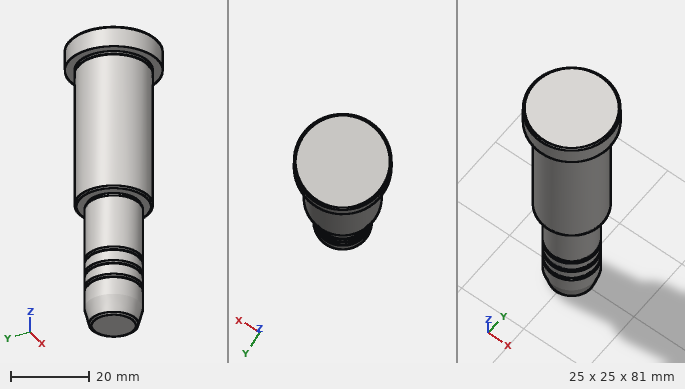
import cadquery as cq
import math

head_diameter = 25.0
body_diameter = 20.0
shank_diameter = 15.0

total_length = 81.0
head_height = 6.0
body_length = 40.0
tip_length = 5.0
tip_half_angle = 15.0

edge_chamfer = 0.5

relief_width = 1.0
relief_depth = 0.5

groove_width = 1.0
groove_depth = 0.5
groove_spacing = 4.0
shank_groove_count = 3
first_shank_groove_drop = 16.5

head_radius = head_diameter / 2
body_radius = body_diameter / 2
shank_radius = shank_diameter / 2

head_underside_z = total_length - head_height
body_underside_z = head_underside_z - body_length
tip_end_radius = shank_radius - tip_length * math.tan(math.radians(tip_half_angle))


def make_cylinder(radius, bottom_z, height):
    return cq.Workplane("XY").workplane(offset=bottom_z).circle(radius).extrude(height)


def make_head():
    """Flat head with a chamfered top rim."""
    head = make_cylinder(head_radius, head_underside_z, head_height)
    return head.faces(">Z").chamfer(edge_chamfer)


def make_body():
    """Thick upper cylinder with a chamfered lower rim."""
    body = make_cylinder(body_radius, body_underside_z, body_length)
    return body.faces("<Z").chamfer(edge_chamfer)


def make_shank():
    """Thin lower cylinder, necked under the body and tapered at the tip."""
    relief_radius = shank_radius - relief_depth
    relief_bottom_z = body_underside_z - relief_width
    neck = make_cylinder(relief_radius, relief_bottom_z, relief_width)
    cylinder = make_cylinder(shank_radius, tip_length, relief_bottom_z - tip_length)
    return cylinder.union(make_tip()).union(neck)


def make_tip():
    """Conical lead-in with a chamfered end."""
    cone = (
        cq.Workplane("XZ")
        .polyline([(0, 0), (tip_end_radius, 0), (shank_radius, tip_length), (0, tip_length)])
        .close()
        .revolve(360, (0, 0), (0, 1))
    )
    return cone.faces("<Z").chamfer(edge_chamfer)


def make_v_groove(surface_radius, root_z):
    """Ring-shaped cutter: a V whose open side lies on the given cylinder."""
    half_width = groove_width / 2
    return (
        cq.Workplane("XZ")
        .moveTo(surface_radius, root_z + half_width)
        .lineTo(surface_radius - groove_depth, root_z)
        .lineTo(surface_radius, root_z - half_width)
        .close()
        .revolve(360, (0, 0), (0, 1))
    )


def cut_grooves(pin):
    """One groove under the head, then evenly spaced grooves around the shank."""
    pin = pin.cut(make_v_groove(body_radius, head_underside_z - groove_width / 2))
    first_root_z = body_underside_z - first_shank_groove_drop
    for index in range(shank_groove_count):
        pin = pin.cut(make_v_groove(shank_radius, first_root_z - index * groove_spacing))
    return pin


result = cut_grooves(make_head().union(make_body()).union(make_shank()))